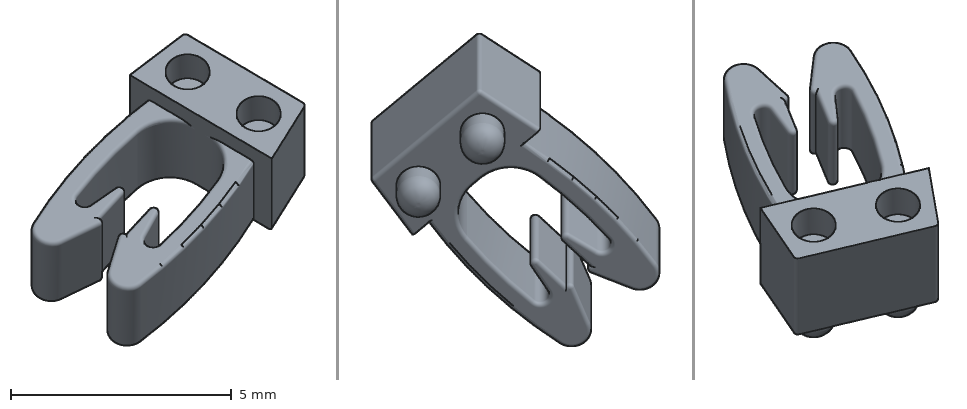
import math
import cadquery as cq

block_front_width = 4.0
block_depth = 1.7
block_height = 2.7
block_draft = math.radians(10)
edge_radius = 0.1
position_tolerance = 1e-3

pin_diameter = 1.0
pin_length = 0.9
pin_spacing = 2.0
pin_end_radius = 0.45
socket_depth = pin_length

clip_height = 2.2
clip_length = 4.71
arm_half_span = 1.7
arm_thickness = 0.5
bow_outer_radius = 12.0
bow_center_y = -2.2
arch_radius = 1.0
arch_mid_angle = math.radians(130)
arm_overlap = 0.3

toe_radius = 0.45
flank_angle = math.radians(22.5)
barb_radius = 0.11
barb_back_y = -3.345
finger_inner_x = -0.365
finger_end_radius = 0.12
finger_end_y = -2.34
throat_radius = 0.2
throat_bottom_y = -3.325

bow_inner_radius = bow_outer_radius - arm_thickness
bow_center = (bow_outer_radius - arm_half_span, bow_center_y)


def bow_x(radius, y):
    """X of the left-hand arm's bow arc of the given radius, at the given y."""
    return bow_center[0] - math.sqrt(radius**2 - (y - bow_center_y) ** 2)


def on_circle(center, radius, angle):
    return (center[0] + radius * math.cos(angle), center[1] + radius * math.sin(angle))


def bow_contact(center, radius):
    """Point where a circle lying inside the bow touches it."""
    away = math.atan2(center[1] - bow_center[1], center[0] - bow_center[0])
    return on_circle(center, radius, away)


def is_clear_of_block(edge):
    return edge.Center().y < 0


def make_block():
    half_front = block_front_width / 2
    half_back = half_front - block_depth * math.tan(block_draft)
    outline = [(-half_front, 0), (half_front, 0), (half_back, block_depth), (-half_back, block_depth)]
    block = cq.Workplane("XY").polyline(outline).close().extrude(block_height)
    return block.edges("|Z and >Y").fillet(edge_radius)


def make_arm():
    """Left-hand arm, its root reaching into the block; top edges rounded."""
    arch_y = -arch_radius
    arch = (bow_x(bow_inner_radius - arch_radius, arch_y), arch_y)
    arch_start = (arch[0], 0)
    arch_end = bow_contact(arch, arch_radius)
    arch_mid = on_circle(arch, arch_radius, arch_mid_angle)

    throat_y = throat_bottom_y + throat_radius
    throat = (bow_x(bow_inner_radius - throat_radius, throat_y), throat_y)
    finger = (finger_inner_x - finger_end_radius, finger_end_y - finger_end_radius)
    rise = math.atan2(finger[1] - throat[1], finger[0] - throat[0])
    reach = math.hypot(finger[0] - throat[0], finger[1] - throat[1])
    side = rise - math.acos((throat_radius + finger_end_radius) / reach)

    toe_y = -clip_length + toe_radius
    toe = (bow_x(bow_outer_radius - toe_radius, toe_y), toe_y)
    barb_y = barb_back_y - barb_radius
    barb_offset = toe_radius - barb_radius + (barb_y - toe_y) * math.sin(flank_angle)
    barb = (toe[0] + barb_offset / math.cos(flank_angle), barb_y)

    bow_inner_mid = (bow_center[0] - bow_inner_radius, bow_center_y)
    bow_outer_mid = (bow_center[0] - bow_outer_radius, bow_center_y)
    down = -math.pi / 2

    arm = (
        cq.Workplane("XY")
        .moveTo(*arch_start)
        .threePointArc(arch_mid, arch_end)
        .threePointArc(bow_inner_mid, bow_contact(throat, throat_radius))
        .threePointArc(on_circle(throat, throat_radius, down), on_circle(throat, throat_radius, side))
        .lineTo(*on_circle(finger, finger_end_radius, side + math.pi))
        .threePointArc((finger[0], finger_end_y), (finger_inner_x, finger[1]))
        .lineTo(finger_inner_x, barb_back_y)
        .lineTo(barb[0], barb_back_y)
        .threePointArc(on_circle(barb, barb_radius, 0), on_circle(barb, barb_radius, -flank_angle))
        .lineTo(*on_circle(toe, toe_radius, -flank_angle))
        .threePointArc(on_circle(toe, toe_radius, down), bow_contact(toe, toe_radius))
        .threePointArc(bow_outer_mid, (bow_x(bow_outer_radius, arm_overlap), arm_overlap))
        .lineTo(arch[0], arm_overlap)
        .close()
        .extrude(clip_height)
    )
    return arm.faces(">Z").edges().filter(is_clear_of_block).fillet(edge_radius)


def is_bare_front_edge(edge):
    """True for the block's lower front edges, which run outward from the arms."""
    center = edge.Center()
    on_front = edge.geomType() == "LINE" and abs(center.y) < position_tolerance
    return on_front and abs(center.x) > position_tolerance


def round_underside(body):
    """Round the lower rim, leaving the block's bare front edges sharp."""
    rim = body.faces("<Z").edges().filter(lambda edge: not is_bare_front_edge(edge))
    return rim.fillet(edge_radius)


def make_pin(x, y):
    pin = cq.Workplane("XY").center(x, y).circle(pin_diameter / 2).extrude(-pin_length)
    return pin.faces("<Z").edges().fillet(pin_end_radius)


def make_socket(x, y):
    top = cq.Workplane("XY").workplane(offset=block_height)
    return top.center(x, y).circle(pin_diameter / 2).extrude(-socket_depth)


left_arm = make_arm()
right_arm = left_arm.mirror("YZ")
result = round_underside(make_block().union(left_arm).union(right_arm))

pin_y = block_depth / 2
for pin_x in (-pin_spacing / 2, pin_spacing / 2):
    result = result.union(make_pin(pin_x, pin_y))
    result = result.cut(make_socket(pin_x, pin_y))